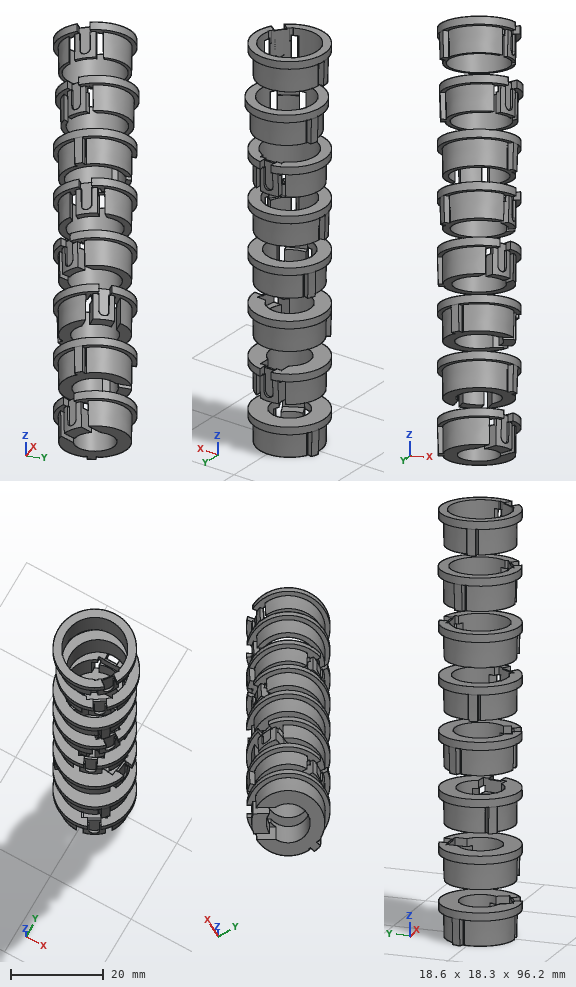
import cadquery as cq
flange_radius = 9.0
flange_height = 1.8
collet_height = 7.9
barrel_height = collet_height - flange_height
barrel_top_radius = 8.0
barrel_bottom_radius = 7.9

rib_width = 1.9
rib_bottom_radius = 8.9
groove_width = 0.4
groove_floor = 7.6
rib_angle_from_tongue = -135.0

tongue_half_width = 2.4
slit_outer_edge = 3.85

slot_radius = 1.2
slot_floor = 7.3
slot_centre_z = 2.1
notch_half_width = 1.4

pocket_half_width = 2.8
pocket_reach = 6.8
pocket_depth = 3.1
web_drop = 0.3

centred = (0, 0)
shifted = (0.6, 0.3)

collet_table = [
    (0.0, 4.7, 299.0, centred),
    (12.8, 5.0, 90.0, centred),
    (25.6, 5.3, 353.0, centred),
    (38.5, 5.9, 293.0, centred),
    (51.0, 6.3, 325.0, centred),
    (62.8, 6.6, 90.0, centred),
    (75.3, 6.7, 303.0, shifted),
    (88.3, 7.1, 322.5, centred),
]


def radial_block(inner, outer, half_width, bottom, top):
    """Box lying along +X from inner to outer, centred across the X axis."""
    size = (outer - inner, 2 * half_width, top - bottom)
    return cq.Workplane("XY").box(*size, centered=(False, True, False)).translate((inner, 0, bottom))


def cone(bottom_radius, top_radius, height):
    profile = [(0, 0), (bottom_radius, 0), (top_radius, height), (0, height)]
    return cq.Workplane("XZ").polyline(profile).close().revolve(360, (0, 0), (0, 1))


def turn(shape, angle):
    return shape.rotate((0, 0, 0), (0, 0, 1), angle)


def make_body():
    """Solid flange over a tapered barrel."""
    barrel = cone(barrel_bottom_radius, barrel_top_radius, barrel_height)
    flange = cq.Workplane("XY").workplane(offset=barrel_height).circle(flange_radius).extrude(flange_height)
    return barrel.union(flange)


def add_rib(body):
    """Cut the two relief grooves as one trough and set the rib in the middle of it."""
    half_width = rib_width / 2
    trough = radial_block(groove_floor, flange_radius, half_width + groove_width, 0, barrel_height)
    bar = radial_block(0, flange_radius, half_width, 0, barrel_height)
    rib = cone(rib_bottom_radius, flange_radius, barrel_height).intersect(bar)
    body = body.cut(turn(trough, rib_angle_from_tongue))
    return body.union(turn(rib, rib_angle_from_tongue))


def cut_bore(body, bore_radius):
    return body.cut(cq.Workplane("XY").circle(bore_radius).extrude(collet_height))


def cut_tongue(body):
    """Free the tongue by two slits below the flange."""
    opening = radial_block(0, flange_radius, slit_outer_edge, 0, barrel_height)
    tongue = radial_block(0, flange_radius, tongue_half_width, 0, barrel_height)
    return body.cut(opening.cut(tongue))


def cut_screw_slot(body):
    slot = radial_block(slot_floor, flange_radius, slot_radius, slot_centre_z, barrel_height)
    round_end = (
        cq.Workplane("YZ")
        .workplane(offset=slot_floor)
        .center(0, slot_centre_z)
        .circle(slot_radius)
        .extrude(flange_radius - slot_floor)
    )
    notch = radial_block(slot_floor, flange_radius, notch_half_width, barrel_height, collet_height)
    return body.cut(slot).cut(round_end).cut(notch)


def cut_nut_pocket(body):
    pocket_floor = collet_height - pocket_depth
    web_top = collet_height - web_drop
    pocket = radial_block(0, pocket_reach, pocket_half_width, pocket_floor, collet_height)
    web_gap = radial_block(pocket_reach, slot_floor, notch_half_width, web_top, collet_height)
    return body.cut(pocket).cut(web_gap)


def make_collet(bore_radius):
    """One collet standing on Z = 0 with its tongue toward +X."""
    body = add_rib(make_body())
    body = cut_bore(body, bore_radius)
    body = cut_tongue(body)
    body = cut_screw_slot(body)
    return cut_nut_pocket(body)


collets = []
for base_z, bore_radius, tongue_angle, (shift_x, shift_y) in collet_table:
    collet = turn(make_collet(bore_radius), tongue_angle)
    collets.append(collet.translate((shift_x, shift_y, base_z)))

result = cq.Compound.makeCompound([solid for collet in collets for solid in collet.solids().vals()])